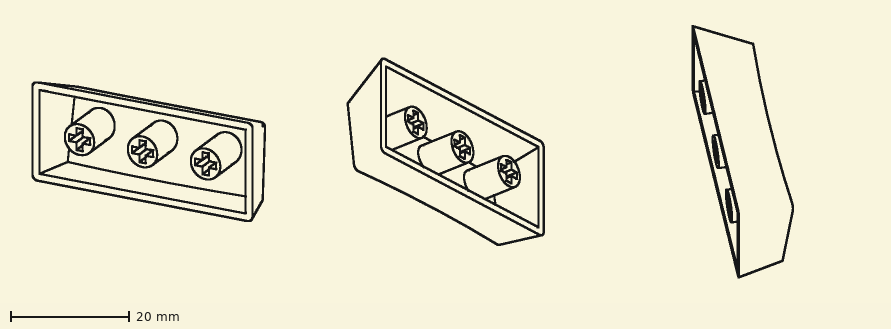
import cadquery as cq
import math

width = 41.9
height = 18.0
wall = 1.35
corner_radius = 1.0

side_draft = 0.267
upper_draft = 0.394

depth_upper = 9.95
depth_lower = 7.8
upper_edge_drop = depth_upper * upper_draft
face_rise = height - upper_edge_drop
face_tilt = math.atan2(depth_upper - depth_lower, face_rise)
dish_half_chord = width / 2 - side_draft * depth_upper
dish_sag = 0.65
face_thickness = 1.0

stem_diameter = 5.6
stem_spacing = 12.0
cross_length = 4.02
cross_width = 1.2
socket_depth = 4.2

blank_depth = 12.55


def wall_section(inset, depth):
    """Rectangle of the drafted walls at one depth, inset from the outside."""
    half_width = width / 2 - inset - side_draft * depth
    bottom = -height / 2 + inset
    top = height / 2 - inset - upper_draft * depth
    corners = [
        cq.Vector(-half_width, depth, bottom),
        cq.Vector(half_width, depth, bottom),
        cq.Vector(half_width, depth, top),
        cq.Vector(-half_width, depth, top),
    ]
    return cq.Wire.makePolygon(corners, close=True)


def drafted_blank(inset):
    sections = [wall_section(inset, 0), wall_section(inset, blank_depth)]
    return cq.Workplane(obj=cq.Solid.makeLoft(sections, True))


def below_dish(offset):
    """Space in front of the dished face, moved inward by an offset."""
    reach = 2 * height
    edge_x = width
    edge_rise = dish_sag * ((edge_x / dish_half_chord) ** 2 - 1)
    plane = cq.Plane(
        origin=(0, depth_lower, -height / 2),
        xDir=(1, 0, 0),
        normal=(0, math.sin(face_tilt), math.cos(face_tilt)),
    )
    return (
        cq.Workplane(plane)
        .moveTo(-edge_x, -reach)
        .lineTo(-edge_x, edge_rise - offset)
        .threePointArc((0, -dish_sag - offset), (edge_x, edge_rise - offset))
        .lineTo(edge_x, -reach)
        .close()
        .extrude(reach, both=True)
    )


def stem_bodies():
    return (
        cq.Workplane("XZ")
        .rarray(stem_spacing, 0.4, 3, 1)
        .circle(stem_diameter / 2)
        .extrude(-blank_depth)
    )


def cross_sockets():
    centers = cq.Workplane("XZ").rarray(stem_spacing, 0.4, 3, 1)
    horizontal = centers.rect(cross_length, cross_width).extrude(-socket_depth)
    vertical = centers.rect(cross_width, cross_length).extrude(-socket_depth)
    return horizontal.union(vertical)


outside = drafted_blank(0).edges("not(|X or |Z)").fillet(corner_radius)
outside = outside.intersect(below_dish(0))
cavity = drafted_blank(wall).intersect(below_dish(face_thickness))
stems = stem_bodies().intersect(outside)
result = outside.cut(cavity).union(stems).cut(cross_sockets())